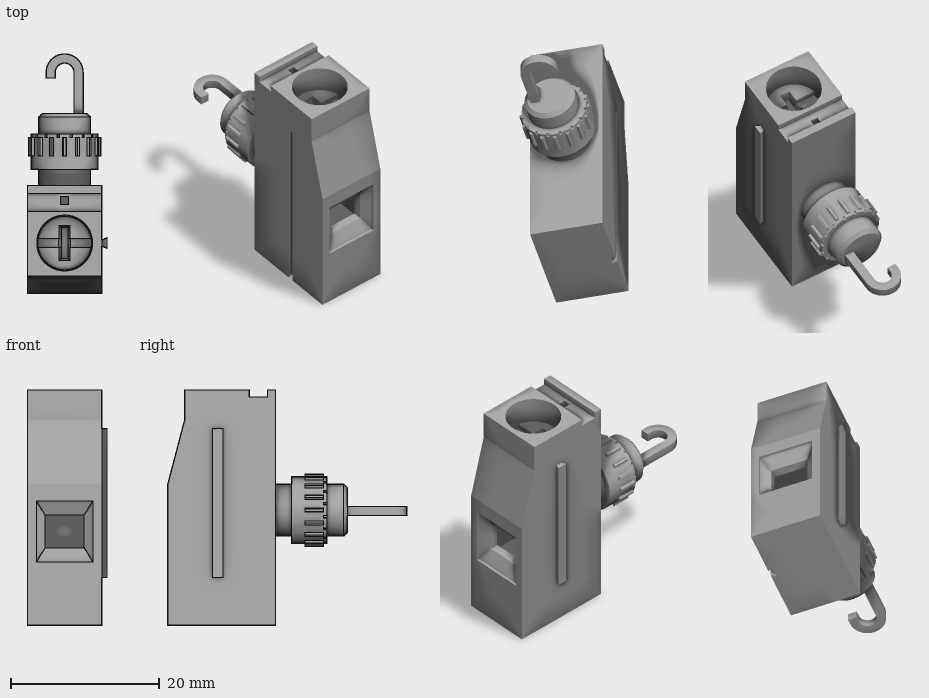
import cadquery as cq

body_width = 10.0
body_depth = 14.5
body_height = 31.6
slope_run = 2.3
slope_bottom_z = 18.85
slope_top_z = 27.6

top_groove_width = 2.4
top_groove_depth = 0.95
top_groove_setback = 1.1
pin_hole_size = 1.05
pin_hole_depth = 1.5
pin_hole_setback = 2.05

dovetail_y = 6.75
dovetail_neck = 0.8
dovetail_wide = 1.45
dovetail_depth = 0.7
dovetail_top_z = 26.4
key_length = 20.0

bore_diameter = 7.5
screw_diameter = 7.2
bore_y = dovetail_y
screw_sink = 3.7
screw_gap_depth = 1.5
screw_slot_width = 1.2
screw_slot_depth = 0.8
recess_mouth = (1.45, 4.75)
recess_floor = (0.9, 4.15)
recess_depth = 1.5
recess_mouth_in_slot = 1.6

window_width = 7.6
window_height = 8.2
window_bottom_z = 8.5
window_lip = 0.35
throat_width = 5.25
throat_height = 4.4
throat_bottom_z = 10.4
funnel_length = 1.05
throat_length = 1.15
chamber_end_y = 10.0

knob_z = 15.45
knob_diameter = 7.0
knob_length = 9.65
knob_chamfer = 0.5
ring_diameter = 9.0
ring_start = 2.15
ring_end = 6.9
rib_count = 16
rib_base_width = 0.55
rib_tip_width = 0.33
rib_start = 3.95
rib_end = 6.45
rib_tip_radius = 4.85
notch_width = 0.3
notch_depth = 0.3

hook_radius = 2.5
hook_bar = 1.25
hook_reach = 17.65
hook_tail = 0.75
hook_z = knob_z - 0.1

overlap = 0.5


def box(x_limits, y_limits, z_limits):
    """Box between the given limits on each axis."""
    sizes = [high - low for low, high in (x_limits, y_limits, z_limits)]
    corner = (x_limits[0], y_limits[0], z_limits[0])
    return cq.Workplane("XY").box(*sizes, centered=False).translate(corner)


def centred_box(width, y_limits, z_limits):
    """Box of the given width, centred on X."""
    return box((-width / 2, width / 2), y_limits, z_limits)


def housing():
    profile = [
        (0, 0),
        (body_depth, 0),
        (body_depth, body_height),
        (slope_run, body_height),
        (slope_run, slope_top_z),
        (0, slope_bottom_z),
    ]
    block = cq.Workplane("YZ").polyline(profile).close()
    return block.extrude(body_width / 2, both=True)


def top_groove():
    groove_end = body_depth - top_groove_setback
    floor_z = body_height - top_groove_depth
    groove = centred_box(
        body_width, (groove_end - top_groove_width, groove_end), (floor_z, body_height)
    )
    hole_y = body_depth - pin_hole_setback
    hole = centred_box(
        pin_hole_size,
        (hole_y - pin_hole_size / 2, hole_y + pin_hole_size / 2),
        (floor_z - pin_hole_depth, floor_z),
    )
    return groove.union(hole)


def dovetail(neck_x, wide_x, bottom_z):
    """Dovetail bar running up to dovetail_top_z, narrow at neck_x."""
    section = [
        (neck_x, dovetail_y - dovetail_neck / 2),
        (wide_x, dovetail_y - dovetail_wide / 2),
        (wide_x, dovetail_y + dovetail_wide / 2),
        (neck_x, dovetail_y + dovetail_neck / 2),
    ]
    base = cq.Workplane("XY").workplane(offset=bottom_z)
    return base.polyline(section).close().extrude(dovetail_top_z - bottom_z)


def screw_cuts():
    face_z = body_height - screw_sink
    at_screw = cq.Workplane("XY", origin=(0, bore_y, face_z))
    bore = at_screw.circle(bore_diameter / 2).extrude(screw_sink)
    gap = at_screw.circle(bore_diameter / 2).circle(screw_diameter / 2).extrude(-screw_gap_depth)
    slot_stock = at_screw.rect(screw_diameter, screw_slot_width).extrude(-screw_slot_depth)
    slot = slot_stock.intersect(at_screw.circle(screw_diameter / 2).extrude(-screw_slot_depth))
    recess = (
        at_screw.rect(*recess_mouth)
        .workplane(offset=-recess_depth)
        .rect(*recess_floor)
        .loft(ruled=True)
    )
    flare_section = [
        (-recess_mouth_in_slot / 2, -screw_slot_depth),
        (recess_mouth_in_slot / 2, -screw_slot_depth),
        (recess_floor[0] / 2, -recess_depth),
        (-recess_floor[0] / 2, -recess_depth),
    ]
    flare = (
        cq.Workplane("XZ", origin=(0, bore_y, face_z))
        .polyline(flare_section)
        .close()
        .extrude(screw_slot_width / 2, both=True)
    )
    return bore.union(gap).union(slot).union(recess).union(flare)


def window():
    window_limits = (window_bottom_z, window_bottom_z + window_height)
    throat_limits = (throat_bottom_z, throat_bottom_z + throat_height)
    funnel_end_y = window_lip + funnel_length
    throat_end_y = funnel_end_y + throat_length
    lip = centred_box(window_width, (0, window_lip), window_limits)
    throat = centred_box(throat_width, (funnel_end_y, throat_end_y), throat_limits)
    chamber = centred_box(window_width, (throat_end_y, chamber_end_y), window_limits)
    throat_rise = sum(throat_limits) / 2 - sum(window_limits) / 2
    funnel = (
        cq.Workplane("XZ", origin=(0, window_lip, sum(window_limits) / 2))
        .rect(window_width, window_height)
        .workplane(offset=-funnel_length)
        .center(0, throat_rise)
        .rect(throat_width, throat_height)
        .loft(ruled=True)
    )
    return lip.union(funnel).union(throat).union(chamber)


def around_knob(feature, index):
    """Turn a feature standing above the knob axis by a number of half rib pitches."""
    angle = index * 180 / rib_count
    return feature.rotate((0, 0, knob_z), (0, 1, knob_z), angle)


def knob():
    def disc(diameter, start, end):
        plane = cq.Workplane("XZ", origin=(0, body_depth + start, knob_z))
        return plane.circle(diameter / 2).extrude(start - end)

    stem = disc(knob_diameter, -overlap, knob_length).faces(">Y").chamfer(knob_chamfer)
    ring = disc(ring_diameter, ring_start, ring_end)
    ring_radius = ring_diameter / 2
    rib_section = [
        (-rib_base_width / 2, ring_radius - overlap),
        (rib_base_width / 2, ring_radius - overlap),
        (rib_base_width / 2, ring_radius),
        (rib_tip_width / 2, rib_tip_radius),
        (-rib_tip_width / 2, rib_tip_radius),
        (-rib_base_width / 2, ring_radius),
    ]
    rib_plane = cq.Workplane("XZ", origin=(0, body_depth + rib_start, knob_z))
    rib = rib_plane.polyline(rib_section).close().extrude(rib_start - rib_end)
    notch = centred_box(
        notch_width,
        (body_depth + rib_end, body_depth + ring_end),
        (knob_z + ring_radius - notch_depth, knob_z + rib_tip_radius),
    )
    for index in range(rib_count):
        ring = ring.union(around_knob(rib, 2 * index))
        ring = ring.cut(around_knob(notch, 2 * index + 1))
    return stem.union(ring)


def hook():
    bend_y = body_depth + hook_reach - hook_radius
    root_y = body_depth + knob_length - overlap
    tail_y = bend_y - hook_tail
    inner_radius = hook_radius - hook_bar
    outline = (
        cq.Workplane("XY", origin=(0, 0, hook_z - hook_bar / 2))
        .moveTo(hook_radius, root_y)
        .lineTo(hook_radius, bend_y)
        .threePointArc((0, bend_y + hook_radius), (-hook_radius, bend_y))
        .lineTo(-hook_radius, tail_y)
        .lineTo(-inner_radius, tail_y)
        .lineTo(-inner_radius, bend_y)
        .threePointArc((0, bend_y + inner_radius), (inner_radius, bend_y))
        .lineTo(inner_radius, root_y)
        .close()
    )
    return outline.extrude(hook_bar)


side_x = body_width / 2
key = dovetail(side_x, side_x + dovetail_depth, dovetail_top_z - key_length)
side_groove = dovetail(-side_x, -side_x + dovetail_depth, 0)

result = (
    housing()
    .cut(top_groove())
    .cut(side_groove)
    .cut(screw_cuts())
    .cut(window())
    .union(key)
    .union(knob())
    .union(hook())
)